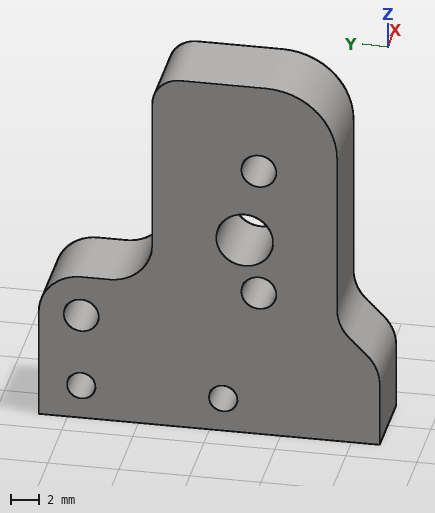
import cadquery as cq

thickness = 6.0
width = 24.0
height = 27.0

column_front = 3.0
column_back = 16.0
shoulder_height = 11.0
slope_bottom = 6.0
slope_top = slope_bottom + column_front

bend_radius = 3.0
top_front_radius = 5.0
top_back_radius = 2.0

base_hole_diameter = 2.0
medium_hole_diameter = 2.45
center_hole_diameter = 4.0

shoulder_hole_y = width - bend_radius
shoulder_hole_z = shoulder_height - bend_radius
base_hole_z = 2.5
base_hole_spacing = 10.0
center_hole = (9.5, 15.0)
column_hole_y = 8.5
lower_column_hole_z = 11.0
upper_column_hole_z = 20.5

base_holes = [
    (shoulder_hole_y, base_hole_z),
    (shoulder_hole_y - base_hole_spacing, base_hole_z),
]
medium_holes = [
    (shoulder_hole_y, shoulder_hole_z),
    (column_hole_y, lower_column_hole_z),
    (column_hole_y, upper_column_hole_z),
]


def round_corner(body, y, z, radius):
    """Fillet the through-thickness edge at the given outline corner."""
    corner = cq.selectors.NearestToPointSelector((thickness / 2, y, z))
    return body.edges("|X").edges(corner).fillet(radius)


def drill(body, positions, diameter):
    """Cut round holes through the full thickness."""
    holes = cq.Workplane("YZ").pushPoints(positions).circle(diameter / 2).extrude(thickness)
    return body.cut(holes)


outline = [
    (0, 0),
    (width, 0),
    (width, shoulder_height),
    (column_back, shoulder_height),
    (column_back, height),
    (column_front, height),
    (column_front, slope_top),
    (0, slope_bottom),
]
plate = cq.Workplane("YZ").polyline(outline).close().extrude(thickness)

rounded_corners = [
    (width, shoulder_height, bend_radius),
    (column_back, shoulder_height, bend_radius),
    (column_back, height, top_back_radius),
    (column_front, height, top_front_radius),
    (column_front, slope_top, bend_radius),
    (0, slope_bottom, bend_radius),
]
for corner_y, corner_z, corner_radius in rounded_corners:
    plate = round_corner(plate, corner_y, corner_z, corner_radius)

plate = drill(plate, base_holes, base_hole_diameter)
plate = drill(plate, medium_holes, medium_hole_diameter)
plate = drill(plate, [center_hole], center_hole_diameter)

result = plate